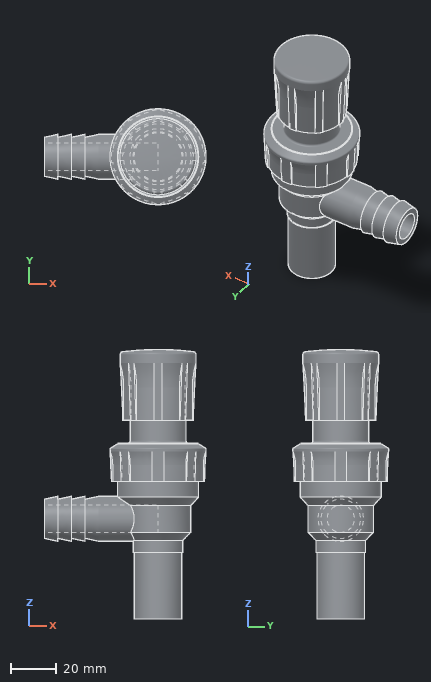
import cadquery as cq

collar_bottom = 29.3
collar_top = 34.7
lower_body_bottom = 38.2
lower_body_top = 50.0
upper_body_bottom = 53.7
nut_bottom = 60.5
nut_groove_runout = 67.8
nut_groove_top = 73.6
nut_rim = 74.7
nut_shoulder = 75.4
nut_top = 77.2
bonnet_top = 77.4
knob_bottom = 87.5
knob_groove_runout = 101.7
knob_groove_top = 112.5
knob_rim = 116.3
knob_edge = 117.8
overall_height = 118.7

tube_radius = 21.0 / 2
collar_radius = 22.0 / 2
lower_body_radius = 14.5
upper_body_radius = 35.7 / 2
nut_radius = 42.4 / 2
nut_shoulder_radius = 20.8
nut_top_radius = 17.9
bonnet_radius = 17.6
nut_rib_foot_radius = 20.5
nut_groove_radius = 20.1
nut_taper = (nut_radius - nut_rib_foot_radius) / (nut_rim - nut_bottom)
nut_groove_top_radius = nut_radius - nut_taper * (nut_rim - nut_groove_top)
stem_radius = 24.7 / 2
stem_fillet_radius = 1.1
knob_radius = 33.5 / 2
knob_top_radius = 15.4
knob_rib_foot_radius = 15.5
knob_groove_radius = 15.2

rib_count = 8
nut_rib_width = 5.2
knob_rib_width = 3.5

overall_length_x = 71.2
branch_tip_x = nut_radius - overall_length_x
branch_height = 44.2
branch_radius = 20.0 / 2
barb_root_radius = 8.7
barb_count = 4
barbed_length = 24.0
barb_pitch = barbed_length / barb_count
bore_diameter = 12.0


def valve_body():
    """Outlet tube, collar and stepped housing, up to the underside of the nut."""
    outline = [
        (0, 0),
        (tube_radius, 0),
        (tube_radius, collar_bottom),
        (collar_radius, collar_bottom),
        (collar_radius, collar_top),
        (lower_body_radius, lower_body_bottom),
        (lower_body_radius, lower_body_top),
        (upper_body_radius, upper_body_bottom),
        (upper_body_radius, nut_bottom),
        (0, nut_bottom),
    ]
    return cq.Workplane("XZ").polyline(outline).close().revolve(360, (0, 0, 0), (0, 1, 0))


def ribbed_grip(bottom, runout, top, groove_radius, rib_foot_radius, top_radius, rib_width):
    """Tapered grip: a core that flares out to top_radius, with straight ribs standing on it."""
    flare_depth = top_radius - groove_radius
    flare_height = top - runout
    flare_arc_radius = (flare_depth**2 + flare_height**2) / (2 * flare_depth)
    core = (
        cq.Workplane("XZ")
        .moveTo(0, bottom)
        .lineTo(groove_radius, bottom)
        .lineTo(groove_radius, runout)
        .radiusArc((top_radius, top), flare_arc_radius)
        .lineTo(0, top)
        .close()
        .revolve(360, (0, 0, 0), (0, 1, 0))
    )
    taper = (
        cq.Workplane("XZ")
        .polyline([(0, bottom), (rib_foot_radius, bottom), (top_radius, top), (0, top)])
        .close()
        .revolve(360, (0, 0, 0), (0, 1, 0))
    )
    bar_length = 3 * top_radius
    bar = (
        cq.Workplane("XY")
        .workplane(offset=bottom)
        .rect(bar_length, rib_width)
        .extrude(top - bottom)
    )
    for index in range(rib_count // 2):
        rib_pair = taper.intersect(bar.rotate((0, 0, 0), (0, 0, 1), index * 360 / rib_count))
        core = core.union(rib_pair)
    return core


def nut_cover():
    """Plain rim of the nut above its ribs, with a sloping shoulder that rounds into the rim."""
    return (
        cq.Workplane("XZ")
        .moveTo(0, nut_groove_top)
        .lineTo(0, nut_top)
        .lineTo(nut_top_radius, nut_top)
        .lineTo(nut_shoulder_radius, nut_shoulder)
        .tangentArcPoint((nut_radius, nut_rim), relative=False)
        .lineTo(nut_groove_top_radius, nut_groove_top)
        .close()
        .revolve(360, (0, 0, 0), (0, 1, 0))
    )


def bonnet_and_stem():
    """Disc just proud of the nut and the round stem above it, joined by a concave fillet."""
    return (
        cq.Workplane("XZ")
        .moveTo(0, nut_top)
        .lineTo(bonnet_radius, nut_top)
        .lineTo(bonnet_radius, bonnet_top)
        .lineTo(stem_radius + stem_fillet_radius, bonnet_top)
        .radiusArc((stem_radius, bonnet_top + stem_fillet_radius), stem_fillet_radius)
        .lineTo(stem_radius, knob_bottom)
        .lineTo(0, knob_bottom)
        .close()
        .revolve(360, (0, 0, 0), (0, 1, 0))
    )


def knob_cap():
    """Plain band of the knob with a rounded edge and a shallow domed top."""
    dome_rise = overall_height - knob_edge
    dome_radius = (knob_top_radius**2 + dome_rise**2) / (2 * dome_rise)
    edge_radius = knob_edge - knob_rim
    return (
        cq.Workplane("XZ")
        .moveTo(0, knob_groove_top)
        .lineTo(knob_radius, knob_groove_top)
        .lineTo(knob_radius, knob_rim)
        .radiusArc((knob_top_radius, knob_edge), -edge_radius)
        .radiusArc((0, overall_height), -dome_radius)
        .close()
        .revolve(360, (0, 0, 0), (0, 1, 0))
    )


def hose_branch():
    """Horizontal spigot from the valve axis, with conical barbs at its free end."""
    outline = [(branch_tip_x, 0)]
    for index in range(barb_count):
        barb_start = branch_tip_x + index * barb_pitch
        outline.append((barb_start, barb_root_radius))
        outline.append((barb_start + barb_pitch, branch_radius))
    outline += [(0, branch_radius), (0, 0)]
    profile = cq.Workplane("XZ").polyline(outline).close()
    return profile.revolve(360, (0, 0, 0), (1, 0, 0)).translate((0, 0, branch_height))


def branch_bore():
    """Bore of the spigot, from its tip to the valve axis."""
    tip_plane = cq.Workplane("YZ").workplane(offset=branch_tip_x)
    return tip_plane.center(0, branch_height).circle(bore_diameter / 2).extrude(-branch_tip_x)


nut_grip = ribbed_grip(
    bottom=nut_bottom,
    runout=nut_groove_runout,
    top=nut_groove_top,
    groove_radius=nut_groove_radius,
    rib_foot_radius=nut_rib_foot_radius,
    top_radius=nut_groove_top_radius,
    rib_width=nut_rib_width,
)
knob_grip = ribbed_grip(
    bottom=knob_bottom,
    runout=knob_groove_runout,
    top=knob_groove_top,
    groove_radius=knob_groove_radius,
    rib_foot_radius=knob_rib_foot_radius,
    top_radius=knob_radius,
    rib_width=knob_rib_width,
)

result = (
    valve_body()
    .union(nut_grip)
    .union(nut_cover())
    .union(bonnet_and_stem())
    .union(knob_grip)
    .union(knob_cap())
    .union(hose_branch())
    .cut(branch_bore())
)